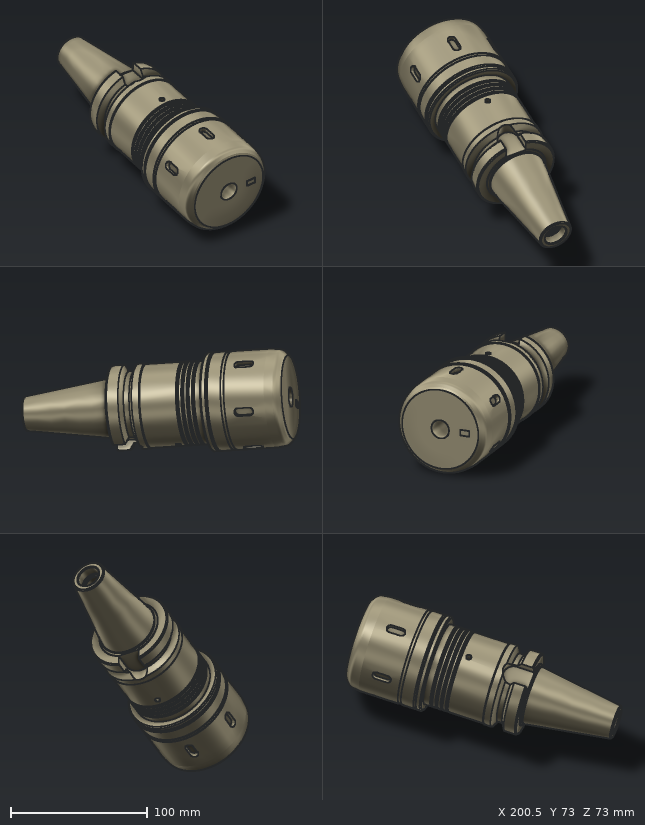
import cadquery as cq


shank_length = 65.3
shank_end_radius = 22.2
shank_taper = 7 / 48
shank_tip_radius = shank_end_radius - shank_taper * shank_length
tip_chamfer_length = 0.8
tip_chamfer_depth = 0.8
neck_radius = 43.5 / 2
flange_step_start = 66.7
flange_step_radius = 23.8

flange_start = 67.3
flange_radius = 63.0 / 2
flange_chamfer_length = 1.0
flange_chamfer_depth = 0.8
flange_end = 77.0
groove_floor_start = 80.0
groove_floor_end = 84.2
groove_floor_radius = 53.0 / 2
collar_start = 87.2
collar_end = 92.5
collar_chamfer = 0.6

drive_slot_width = 16.0
drive_slot_floor = 22.6
drive_slot_end = 88.4

body_radius = 62.0 / 2
ring_count = 4
ring_first = 121.5
ring_pitch = 4.0
ring_width = 2.0
ring_floor_width = 1.0
ring_floor_radius = 61.5 / 2

nut_start = 139.7
nut_radius = 73.0 / 2
nut_chamfer_length = 1.0
nut_chamfer_depth = 1.0
seam_start = 143.7
seam_floor_end = 144.3
seam_end = 145.5
seam_depth = 0.6
band_start = 155.3
band_end = 157.7
band_depth = 0.5
nose_start = 188.0
nose_arc_start = 194.0
nose_arc_start_radius = 35.7
nose_arc_mid = 195.5
nose_arc_mid_radius = 35.3
nose_arc_end = 197.0
nose_arc_end_radius = 34.3
nose_bevel_end = 198.8
nose_bevel_end_radius = 32.5
nose_face = 200.0
nose_face_radius = 61.5 / 2

spanner_slot_count = 6
spanner_slot_center = 172.0
spanner_slot_length = 14.2
spanner_slot_width = 6.0
spanner_slot_floor = 32.7

overall_length = 200.5
pad_center_y = 19.8
pad_size_y = 7.2
pad_size_z = 4.5

bore_radius = 14.2 / 2
pilot_radius = 17.0 / 2
pilot_depth = 8.0
mouth_radius = 18.0 / 2
mouth_chamfer = 0.8
thread_mouth_radius = 16.0 / 2
thread_mouth_end = 9.2

cross_hole_x = 115.2
cross_hole_diameter = 3.5
cross_hole_mouth_diameter = 4.0

cut_clearance = 2.0


def revolve_about_x(profile):
    return profile.close().revolve(360, (0, 0, 0), (1, 0, 0))


def make_outer_body():
    profile = (
        cq.Workplane("XY")
        .moveTo(0, 0)
        .lineTo(0, shank_tip_radius - tip_chamfer_depth)
        .lineTo(tip_chamfer_length, shank_tip_radius + shank_taper * tip_chamfer_length)
        .lineTo(shank_length, shank_end_radius)
        .lineTo(shank_length, neck_radius)
        .lineTo(flange_step_start, neck_radius)
        .lineTo(flange_step_start, flange_step_radius)
        .lineTo(flange_start, flange_step_radius)
        .lineTo(flange_start, flange_radius - flange_chamfer_depth)
        .lineTo(flange_start + flange_chamfer_length, flange_radius)
        .lineTo(flange_end, flange_radius)
        .lineTo(groove_floor_start, groove_floor_radius)
        .lineTo(groove_floor_end, groove_floor_radius)
        .lineTo(collar_start, flange_radius)
        .lineTo(collar_end, flange_radius)
        .lineTo(collar_end + collar_chamfer, body_radius)
        .lineTo(nut_start, body_radius)
        .lineTo(nut_start, nut_radius - nut_chamfer_depth)
        .lineTo(nut_start + nut_chamfer_length, nut_radius)
        .lineTo(seam_start, nut_radius)
        .lineTo(seam_start, nut_radius - seam_depth)
        .lineTo(seam_floor_end, nut_radius - seam_depth)
        .lineTo(seam_end, nut_radius)
        .lineTo(band_start, nut_radius)
        .lineTo(band_start, nut_radius - band_depth)
        .lineTo(band_end, nut_radius - band_depth)
        .lineTo(band_end, nut_radius)
        .lineTo(nose_start, nut_radius)
        .lineTo(nose_arc_start, nose_arc_start_radius)
        .threePointArc((nose_arc_mid, nose_arc_mid_radius), (nose_arc_end, nose_arc_end_radius))
        .lineTo(nose_bevel_end, nose_bevel_end_radius)
        .lineTo(nose_face, nose_face_radius)
        .lineTo(nose_face, 0)
    )
    return revolve_about_x(profile)


def make_body_ring(center):
    """Shallow ring groove with sloping sides."""
    profile = (
        cq.Workplane("XY")
        .moveTo(center - ring_width / 2, body_radius)
        .lineTo(center - ring_floor_width / 2, ring_floor_radius)
        .lineTo(center + ring_floor_width / 2, ring_floor_radius)
        .lineTo(center + ring_width / 2, body_radius)
    )
    return revolve_about_x(profile)


def make_bore():
    profile = (
        cq.Workplane("XY")
        .moveTo(0, 0)
        .lineTo(0, mouth_radius)
        .lineTo(mouth_chamfer, pilot_radius)
        .lineTo(pilot_depth, pilot_radius)
        .lineTo(pilot_depth, thread_mouth_radius)
        .lineTo(thread_mouth_end, thread_mouth_radius)
        .lineTo(thread_mouth_end + thread_mouth_radius - bore_radius, bore_radius)
        .lineTo(nose_face, bore_radius)
        .lineTo(nose_face, 0)
    )
    return revolve_about_x(profile)


def make_drive_slot():
    """Slot on the +Z side, open towards the shank, with a half-round end."""
    half_width = drive_slot_width / 2
    arc_center = drive_slot_end - half_width
    return (
        cq.Workplane("XY")
        .workplane(offset=drive_slot_floor)
        .moveTo(shank_length, -half_width)
        .lineTo(arc_center, -half_width)
        .threePointArc((drive_slot_end, 0), (arc_center, half_width))
        .lineTo(shank_length, half_width)
        .close()
        .extrude(flange_radius - drive_slot_floor + cut_clearance)
    )


def make_spanner_slot(angle):
    return (
        cq.Workplane("XY")
        .workplane(offset=spanner_slot_floor)
        .center(spanner_slot_center, 0)
        .slot2D(spanner_slot_length, spanner_slot_width)
        .extrude(nut_radius - spanner_slot_floor + cut_clearance)
        .rotate((0, 0, 0), (1, 0, 0), angle)
    )


def make_cross_hole():
    """Hole along Z through the whole body, with a chamfered mouth at each end."""
    mouth_depth = (cross_hole_mouth_diameter - cross_hole_diameter) / 2
    profile = (
        cq.Workplane("XZ", origin=(cross_hole_x, 0, 0))
        .moveTo(0, -body_radius)
        .lineTo(cross_hole_mouth_diameter / 2, -body_radius)
        .lineTo(cross_hole_diameter / 2, mouth_depth - body_radius)
        .lineTo(cross_hole_diameter / 2, body_radius - mouth_depth)
        .lineTo(cross_hole_mouth_diameter / 2, body_radius)
        .lineTo(0, body_radius)
        .close()
    )
    return profile.revolve(360, (0, 0, 0), (0, 1, 0))


def make_nose_pad():
    return (
        cq.Workplane("YZ")
        .workplane(offset=nose_face)
        .center(pad_center_y, 0)
        .rect(pad_size_y, pad_size_z)
        .extrude(overall_length - nose_face)
    )


result = make_outer_body().union(make_nose_pad())

for index in range(ring_count):
    result = result.cut(make_body_ring(ring_first + index * ring_pitch))

drive_slot = make_drive_slot()
result = result.cut(drive_slot)
result = result.cut(drive_slot.rotate((0, 0, 0), (1, 0, 0), 180))

for index in range(spanner_slot_count):
    result = result.cut(make_spanner_slot(index * 360 / spanner_slot_count))

result = result.cut(make_bore())
result = result.cut(make_cross_hole())